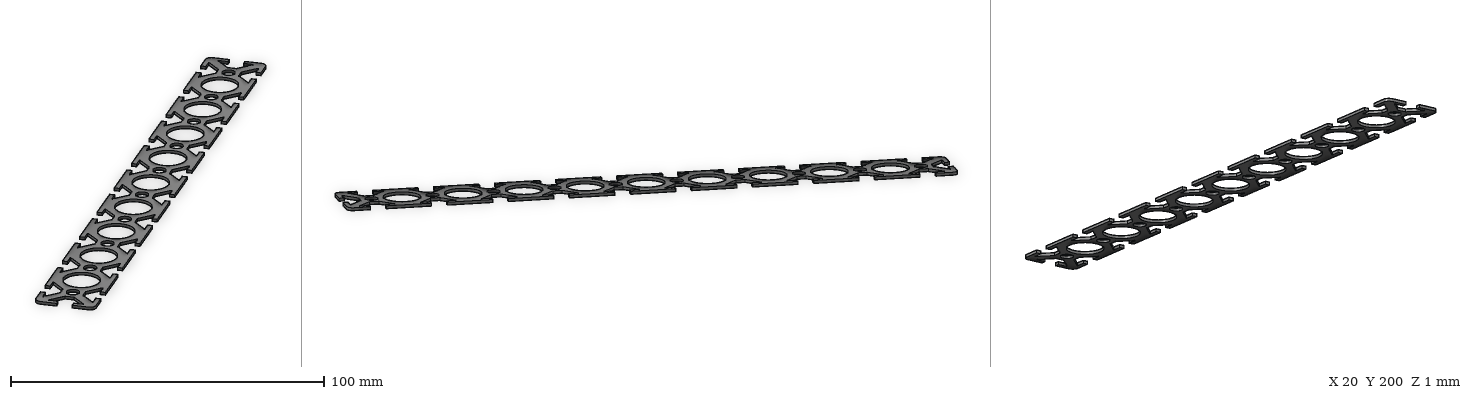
import cadquery as cq

PITCH = 20.0
CELL_COUNT = 10
THICKNESS = 1.0
CORNER_RADIUS = 2.0
SLOT_OPENING = 5.2
LIP_THICKNESS = 1.7
CORE_WIDTH = 7.5
FLOOR_WIDTH = 3.0
CAVITY_WIDTH = 11.5
CORE_HOLE_DIAMETER = 4.2
CHAMBER_DIAMETER = 12.0

LENGTH = PITCH * CELL_COUNT
cell_centres = [(i - (CELL_COUNT - 1) / 2) * PITCH for i in range(CELL_COUNT)]
chamber_centres = [y + PITCH / 2 for y in cell_centres[:-1]]


def t_slot(centre_y, turn):
    """Cutter for a slot opening toward +X, turned about the cell centre at centre_y."""
    face = PITCH / 2
    lip_x = face - LIP_THICKNESS
    floor_x = CORE_WIDTH / 2
    floor = FLOOR_WIDTH / 2
    mouth = SLOT_OPENING / 2
    shoulder = CAVITY_WIDTH / 2
    upper_half = [
        (floor_x, floor),
        (floor_x + shoulder - floor, shoulder),
        (lip_x, shoulder),
        (lip_x, mouth),
        (face, mouth),
    ]
    lower_half = [(x, -y) for x, y in reversed(upper_half)]
    cutter = cq.Workplane("XY").polyline(upper_half + lower_half).close().extrude(THICKNESS)
    return cutter.rotate((0, 0, 0), (0, 0, 1), turn).translate((0, centre_y, 0))


def round_holes(centres, diameter):
    """Through holes along the centre line."""
    points = [(0, y) for y in centres]
    return cq.Workplane("XY").pushPoints(points).circle(diameter / 2).extrude(THICKNESS)


result = (
    cq.Workplane("XY")
    .box(PITCH, LENGTH, THICKNESS, centered=(True, True, False))
    .edges("|Z")
    .fillet(CORNER_RADIUS)
)

for y in cell_centres:
    for turn in (0, 180):
        result = result.cut(t_slot(y, turn))

result = result.cut(t_slot(cell_centres[0], -90))
result = result.cut(t_slot(cell_centres[-1], 90))

result = result.cut(round_holes(cell_centres, CORE_HOLE_DIAMETER))
result = result.cut(round_holes(chamber_centres, CHAMBER_DIAMETER))